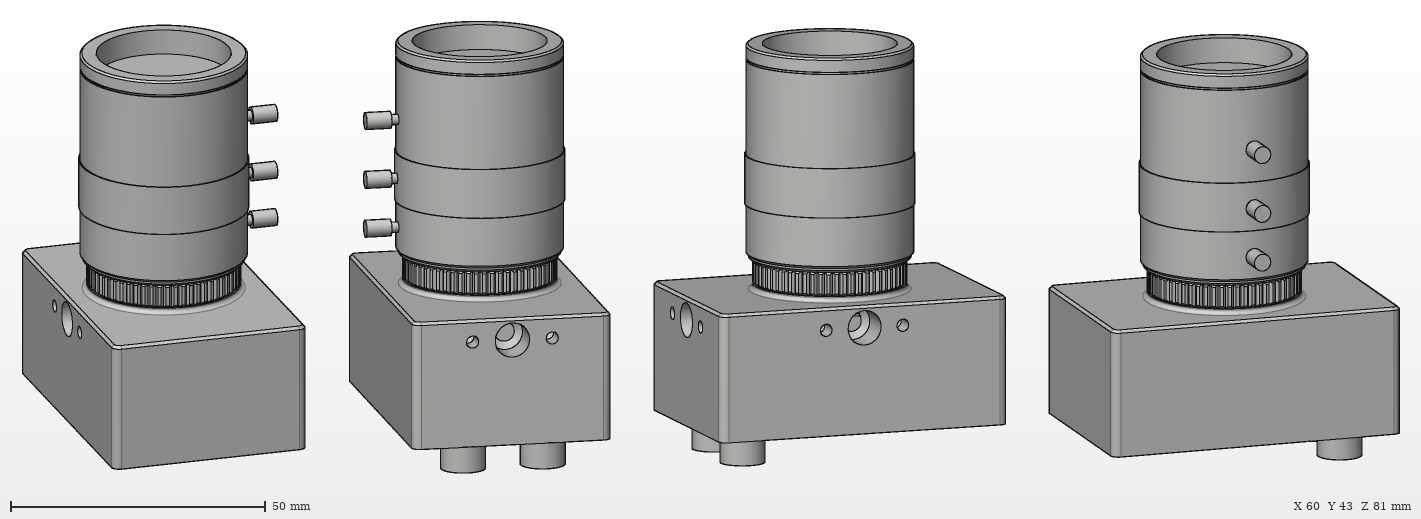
import cadquery as cq
import math

HOUSING_LENGTH = 60.0
HOUSING_WIDTH = 39.9
HOUSING_BOTTOM = 6.3
HOUSING_TOP = 32.0
CORNER_RADIUS = 1.6
TOP_CHAMFER = 0.6

MOUNT_RADIUS = 15.1
MOUNT_HEIGHT = 1.1
MOUNT_FILLET = 0.9
PLUG_RADIUS = 12.7
RECESS_DEPTH = 3.4
RECESS_FLOOR = HOUSING_TOP - RECESS_DEPTH
MOUNT_FACE = HOUSING_TOP + MOUNT_HEIGHT

HOLE_LINE_DROP = 4.45
HOLE_LINE_HEIGHT = HOUSING_TOP - HOLE_LINE_DROP
TRIPOD_RADIUS = 6.9 / 2
TRIPOD_FLOOR_RADIUS = 4.0 / 2
TRIPOD_DEPTH = 7.4
SCREW_HOLE_RADIUS = 1.2
SCREW_HOLE_DEPTH = 5.0
SCREW_HOLE_SPACING = 8.0
DRILL_TIP_ANGLE = 118
DRILL_TIP_SLOPE = math.tan(math.radians(DRILL_TIP_ANGLE / 2))

CONNECTOR_X = -21.2
CONNECTOR_Y = 8.0
FLANGE_RADIUS = 5.5
FLANGE_THICKNESS = 0.7
BARREL_RADIUS = 4.45

LENS_TOP = 80.95
LENS_RADIUS = 16.5
RIM_CHAMFER = 0.4
RIM_GROOVE_TOP = LENS_TOP - 2.8
RIM_GROOVE_WIDTH = 0.4
RIM_GROOVE_DEPTH = 0.25
BAND_RADIUS = 16.75
BAND_TOP = LENS_TOP - 22.0
BAND_BOTTOM = LENS_TOP - 31.9
BARREL_BOTTOM = LENS_TOP - 41.6
SHOULDER_RADIUS = 16.0
SHOULDER_HEIGHT = 0.4
SHOULDER_CHAMFER = 0.5
POCKET_RADIUS = 13.3
POCKET_DEPTH = 5.0
PLUG_LENGTH = 4.05

KNURL_RADIUS = 15.2
KNURL_ROOT_RADIUS = 14.65
KNURL_BEVEL_HEIGHT = 0.5
KNURL_COUNT = 60
KNURL_CREST_WIDTH = 0.65

THUMBSCREW_HEIGHTS = [LENS_TOP - 15.05, LENS_TOP - 26.95, LENS_TOP - 36.8]
OVERALL_WIDTH = 43.0
THUMBSCREW_END = OVERALL_WIDTH - HOUSING_WIDTH / 2
THUMBSCREW_HEAD_LENGTH = 5.0
THUMBSCREW_HEAD_RADIUS = 1.7
THUMBSCREW_STEM_RADIUS = 1.05
THUMBSCREW_STEM_ROOT = 1.6
THUMBSCREW_STEM_LENGTH = THUMBSCREW_END - LENS_RADIUS + THUMBSCREW_STEM_ROOT


def disc(radius, bottom, top):
    """Upright cylinder on the Z axis."""
    return cq.Workplane("XY").workplane(offset=bottom).circle(radius).extrude(top - bottom)


def drilled_hole(radius, depth, floor_radius):
    """Cutter along +X from the origin: a bore, then a drill cone down to floor_radius."""
    bore_depth = depth - (radius - floor_radius) / DRILL_TIP_SLOPE
    profile = cq.Workplane("XY").lineTo(0, radius).lineTo(bore_depth, radius).lineTo(depth, floor_radius)
    if floor_radius > 0:
        profile = profile.lineTo(depth, 0)
    return profile.close().revolve(360, (0, 0, 0), (1, 0, 0))


def wall_holes(wall_distance):
    """Cutters for the tripod hole and its two screw holes, entering the -X wall."""
    cutters = drilled_hole(TRIPOD_RADIUS, TRIPOD_DEPTH, TRIPOD_FLOOR_RADIUS)
    for side in (-1, 1):
        screw_hole = drilled_hole(SCREW_HOLE_RADIUS, SCREW_HOLE_DEPTH, 0)
        cutters = cutters.add(screw_hole.translate((0, side * SCREW_HOLE_SPACING, 0)))
    return cutters.combine().translate((-wall_distance, 0, HOLE_LINE_HEIGHT))


def connector(y):
    """Flange and barrel below the housing."""
    flange = disc(FLANGE_RADIUS, HOUSING_BOTTOM - FLANGE_THICKNESS, HOUSING_BOTTOM)
    barrel = disc(BARREL_RADIUS, 0, HOUSING_BOTTOM)
    return flange.union(barrel).translate((CONNECTOR_X, y, 0))


def mount():
    """Boss whose foot flares into the housing top with a concave fillet."""
    foot_radius = MOUNT_RADIUS + MOUNT_FILLET
    fillet_top = HOUSING_TOP + MOUNT_FILLET
    return (
        cq.Workplane("XZ")
        .moveTo(0, RECESS_FLOOR)
        .lineTo(foot_radius, RECESS_FLOOR)
        .lineTo(foot_radius, HOUSING_TOP)
        .radiusArc((MOUNT_RADIUS, fillet_top), MOUNT_FILLET)
        .lineTo(MOUNT_RADIUS, MOUNT_FACE)
        .lineTo(0, MOUNT_FACE)
        .close()
        .revolve(360, (0, 0, 0), (0, 1, 0))
    )


def make_housing():
    box = (
        cq.Workplane("XY")
        .workplane(offset=HOUSING_BOTTOM)
        .rect(HOUSING_LENGTH, HOUSING_WIDTH)
        .extrude(HOUSING_TOP - HOUSING_BOTTOM)
        .edges("|Z")
        .fillet(CORNER_RADIUS)
        .faces(">Z")
        .edges()
        .chamfer(TOP_CHAMFER)
    )
    body = box.union(mount()).cut(disc(PLUG_RADIUS, RECESS_FLOOR, MOUNT_FACE))
    for y in (-CONNECTOR_Y, CONNECTOR_Y):
        body = body.union(connector(y))
    body = body.cut(wall_holes(HOUSING_LENGTH / 2))
    front_holes = wall_holes(HOUSING_WIDTH / 2).rotate((0, 0, 0), (0, 0, 1), 90)
    return body.cut(front_holes)


def lens_barrel():
    """Main turned body above the knurled ring, with its front pocket."""
    shoulder_top = BARREL_BOTTOM - (LENS_RADIUS - SHOULDER_RADIUS)
    shoulder_bottom = shoulder_top - SHOULDER_HEIGHT
    profile = [
        (0, LENS_TOP - POCKET_DEPTH),
        (POCKET_RADIUS, LENS_TOP - POCKET_DEPTH),
        (POCKET_RADIUS, LENS_TOP),
        (LENS_RADIUS - RIM_CHAMFER, LENS_TOP),
        (LENS_RADIUS, LENS_TOP - RIM_CHAMFER),
        (LENS_RADIUS, RIM_GROOVE_TOP),
        (LENS_RADIUS - RIM_GROOVE_DEPTH, RIM_GROOVE_TOP),
        (LENS_RADIUS - RIM_GROOVE_DEPTH, RIM_GROOVE_TOP - RIM_GROOVE_WIDTH),
        (LENS_RADIUS, RIM_GROOVE_TOP - RIM_GROOVE_WIDTH),
        (LENS_RADIUS, BAND_TOP),
        (BAND_RADIUS, BAND_TOP),
        (BAND_RADIUS, BAND_BOTTOM),
        (LENS_RADIUS, BAND_BOTTOM),
        (LENS_RADIUS, BARREL_BOTTOM),
        (SHOULDER_RADIUS, shoulder_top),
        (SHOULDER_RADIUS, shoulder_bottom),
        (SHOULDER_RADIUS - SHOULDER_CHAMFER, shoulder_bottom - SHOULDER_CHAMFER),
        (0, shoulder_bottom - SHOULDER_CHAMFER),
    ]
    return cq.Workplane("XZ").polyline(profile).close().revolve(360, (0, 0, 0), (0, 1, 0))


def knurled_ring(bottom, top):
    """Ring with bevelled ends, cut by V grooves that leave flat-topped teeth."""
    ring = (
        cq.Workplane("XZ")
        .moveTo(0, bottom)
        .lineTo(KNURL_ROOT_RADIUS, bottom)
        .lineTo(KNURL_RADIUS, bottom + KNURL_BEVEL_HEIGHT)
        .lineTo(KNURL_RADIUS, top - KNURL_BEVEL_HEIGHT)
        .lineTo(KNURL_ROOT_RADIUS, top)
        .lineTo(0, top)
        .close()
        .revolve(360, (0, 0, 0), (0, 1, 0))
    )
    half_groove = (2 * math.pi * KNURL_RADIUS / KNURL_COUNT - KNURL_CREST_WIDTH) / 2
    groove = (
        cq.Workplane("XY")
        .workplane(offset=bottom)
        .moveTo(KNURL_ROOT_RADIUS, 0)
        .lineTo(KNURL_RADIUS, half_groove)
        .lineTo(KNURL_RADIUS, -half_groove)
        .close()
        .extrude(top - bottom)
    )
    step = 360 / KNURL_COUNT
    grooves = [groove.rotate((0, 0, 0), (0, 0, 1), i * step).val() for i in range(KNURL_COUNT)]
    return ring.cut(cq.Workplane("XY").newObject([cq.Compound.makeCompound(grooves)]))


def thumbscrew(z):
    """Stem and head pointing along +Y."""
    axis = cq.Workplane("XZ", origin=(0, THUMBSCREW_END, z))
    head = axis.circle(THUMBSCREW_HEAD_RADIUS).extrude(THUMBSCREW_HEAD_LENGTH)
    stem = axis.circle(THUMBSCREW_STEM_RADIUS).extrude(THUMBSCREW_STEM_LENGTH)
    return head.union(stem)


def make_lens():
    barrel = lens_barrel()
    barrel_end = barrel.val().BoundingBox().zmin
    lens = barrel.union(knurled_ring(MOUNT_FACE, barrel_end))
    lens = lens.union(disc(PLUG_RADIUS, MOUNT_FACE - PLUG_LENGTH, MOUNT_FACE))
    for z in THUMBSCREW_HEIGHTS:
        lens = lens.union(thumbscrew(z))
    return lens


housing = make_housing()
lens = make_lens()
result = cq.Compound.makeCompound([housing.val(), lens.val()])